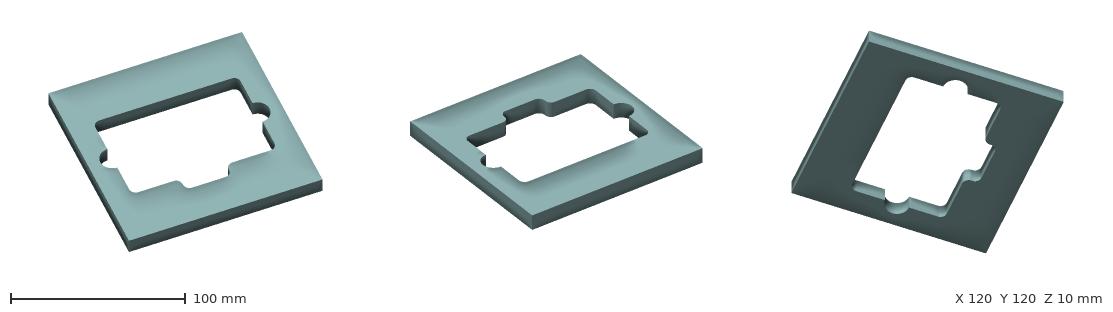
import cadquery as cq

plate_side = 120.0
plate_thickness = 10.0

window_left = -30.0
window_right = 28.3
window_length = 90.0
window_corner_radius = 4.0

notch_radius = 7.5

bay_right = 37.0
bay_length = 28.5
bay_center_y = -1.0
bay_corner_radius = 4.0

window_width = window_right - window_left
window_center_x = (window_left + window_right) / 2


def make_window():
    """Rounded window joined to its side bay, with every corner blended."""
    window = cq.Workplane("XY").center(window_center_x, 0).rect(window_width, window_length)
    window = window.extrude(plate_thickness).edges("|Z").fillet(window_corner_radius)

    bay_width = bay_right - window_center_x
    bay_center_x = (bay_right + window_center_x) / 2
    bay = cq.Workplane("XY").center(bay_center_x, bay_center_y).rect(bay_width, bay_length)
    bay = bay.extrude(plate_thickness).edges("|Z and >X").fillet(bay_corner_radius)

    joined = window.union(bay)
    half_bay = bay_length / 2
    for corner_y in (bay_center_y - half_bay, bay_center_y + half_bay):
        corner = cq.selectors.NearestToPointSelector((window_right, corner_y, plate_thickness / 2))
        joined = joined.edges("|Z").edges(corner).fillet(bay_corner_radius)
    return joined


def make_notches():
    """Round notches at both ends of the window."""
    half_window = window_length / 2
    centers = [(window_center_x, -half_window), (window_center_x, half_window)]
    return cq.Workplane("XY").pushPoints(centers).circle(notch_radius).extrude(plate_thickness)


plate = cq.Workplane("XY").rect(plate_side, plate_side).extrude(plate_thickness)
result = plate.cut(make_window()).cut(make_notches())